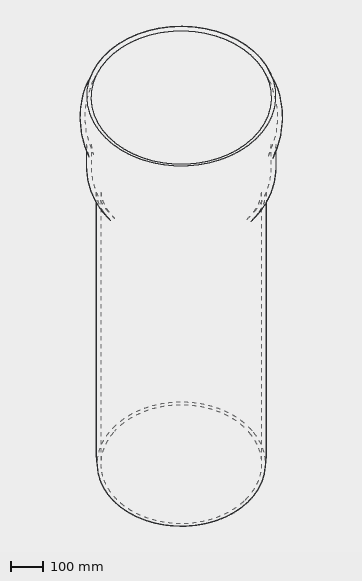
import cadquery as cq
import math

length = 1700.0
wall = 15.0

pipe_radius = 530.0 / 2
socket_radius = 590.0 / 2
bulge_radius = 630.0 / 2
rim_edge_radius = 300.0
rim_radius = 294.0
rim_bore_radius = 280.0
spigot_tip_radius = 262.0

spigot_height = 48.0
spigot_blend_reach = 2.5
pipe_top = length - 432.0
shoulder_joint = length - 390.0
socket_bottom = length - 328.0
socket_top = length - 216.0
bulge_bottom = length - 185.0
bore_bulge_bottom = length - 175.0
bulge_band_height = 5.0
bulge_band_top = length - 92.0
bulge_band_bottom = bulge_band_top - bulge_band_height
rim_bottom = length - 20.0
rim_bore_top = length - 7.0

shoulder_share = (shoulder_joint - pipe_top) / (socket_bottom - pipe_top)
shoulder_radius = pipe_radius + (socket_radius - pipe_radius) * shoulder_share


def tangent_arc(profile, radius, height):
    """Continue the profile smoothly to a point at the given radius and height."""
    return profile.tangentArcPoint((radius, height), relative=False)


def bulge_arc(profile, end_radius, end_height, middle_radius):
    """Arc from the bulge's widest circle, where it runs parallel to the axis."""
    start_height = bulge_band_top
    rise = end_height - start_height
    drop = middle_radius - end_radius
    arc_radius = (rise**2 + drop**2) / (2 * drop)
    half_angle = math.asin(rise / arc_radius) / 2
    through = (
        middle_radius - arc_radius * (1 - math.cos(half_angle)),
        start_height + arc_radius * math.sin(half_angle),
    )
    return profile.threePointArc(through, (end_radius, end_height))


def pipe_and_socket(profile, inset, neck_joint):
    """Pipe, S-shaped shoulder, socket, lower half of the bulge and its band, from the bottom up."""
    profile = profile.lineTo(pipe_radius - inset, pipe_top)
    profile = tangent_arc(profile, shoulder_radius - inset, shoulder_joint)
    profile = tangent_arc(profile, socket_radius - inset, socket_bottom)
    profile = profile.lineTo(socket_radius - inset, socket_top)
    neck_share = (neck_joint - socket_top) / (bulge_band_bottom - socket_top)
    neck_radius = socket_radius + (bulge_radius - socket_radius) * neck_share
    profile = tangent_arc(profile, neck_radius - inset, neck_joint)
    profile = tangent_arc(profile, bulge_radius - inset, bulge_band_bottom)
    return profile.lineTo(bulge_radius - inset, bulge_band_top)


def outer_solid():
    profile = cq.Workplane("XZ").lineTo(spigot_tip_radius, 0)
    taper = (pipe_radius - spigot_tip_radius) / spigot_height
    blend_start = spigot_height - spigot_blend_reach
    profile = profile.lineTo(spigot_tip_radius + taper * blend_start, blend_start)
    profile = tangent_arc(profile, pipe_radius, spigot_height + spigot_blend_reach)
    profile = pipe_and_socket(profile, 0, bulge_bottom)
    profile = bulge_arc(profile, rim_edge_radius, rim_bottom, bulge_radius)
    profile = profile.lineTo(rim_radius, length).lineTo(0, length).close()
    return profile.revolve(360, (0, 0, 0), (0, 1, 0))


def bore_solid():
    profile = cq.Workplane("XZ").lineTo(pipe_radius - wall, 0)
    profile = pipe_and_socket(profile, wall, bore_bulge_bottom)
    profile = bulge_arc(profile, rim_bore_radius, rim_bore_top, bulge_radius - wall)
    profile = profile.lineTo(rim_radius, length).lineTo(0, length).close()
    return profile.revolve(360, (0, 0, 0), (0, 1, 0))


result = outer_solid().cut(bore_solid())